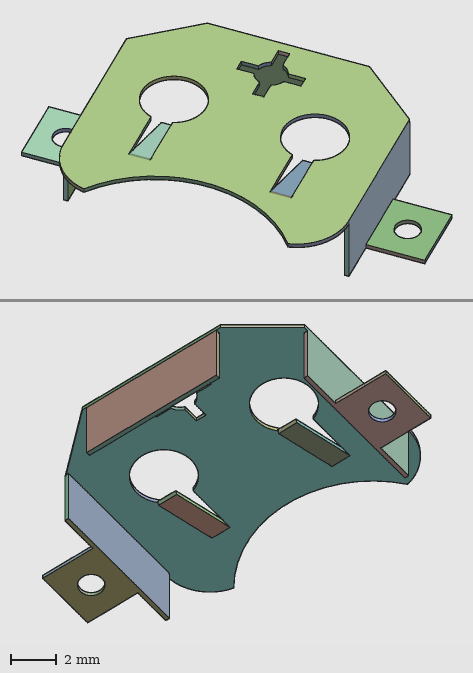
import cadquery as cq
import math

total_length = 18.92
total_height = 3.27
sheet = 0.2
plate_bottom = total_height - sheet

plate_half_width = 6.7
plate_back = 6.05
plate_front = -5.96
back_corner_x = 3.8
left_corner_y = 3.8
right_corner_y = 3.52
front_tip_x = 4.79
cutout_depth = 2.35

side_wall_length = 7.17
foot_width = 3.2
foot_hole_diameter = 1.2
foot_hole_x = 8.02
back_wall_width = 7.15

keyhole_x = 3.31
keyhole_y = 0.9
keyhole_diameter = 3.0
tab_width = 1.0
tab_root_y = -3.15
tab_underside_tip_y = 0.65
tab_tip_bottom = 1.72

cross_y = 4.03
cross_span = 3.0
cross_arm_width = 0.53
cross_hole_diameter = 1.5


def box(x_range, y_range, z_range):
    """Box filling the given ranges along the three axes."""
    (x0, x1), (y0, y1), (z0, z1) = x_range, y_range, z_range
    return cq.Workplane("XY").box(x1 - x0, y1 - y0, z1 - z0, centered=False).translate((x0, y0, z0))


def make_plate():
    """Flat plate with bevelled back corners, round front corners and an arched front cutout."""
    side_end_y = -side_wall_length / 2
    middle_x, middle_y = corner_arc_middle(side_end_y)
    return (
        cq.Workplane("XY", origin=(0, 0, plate_bottom))
        .moveTo(plate_half_width, right_corner_y)
        .lineTo(back_corner_x, plate_back)
        .lineTo(-back_corner_x, plate_back)
        .lineTo(-plate_half_width, left_corner_y)
        .lineTo(-plate_half_width, side_end_y)
        .threePointArc((-middle_x, middle_y), (-front_tip_x, plate_front))
        .threePointArc((0, plate_front + cutout_depth), (front_tip_x, plate_front))
        .threePointArc((middle_x, middle_y), (plate_half_width, side_end_y))
        .close()
        .extrude(sheet)
    )


def corner_arc_middle(side_end_y):
    """Middle of the right front corner arc, which leaves the side edge tangentially."""
    run = plate_half_width - front_tip_x
    drop = side_end_y - plate_front
    radius = (run**2 + drop**2) / (2 * run)
    half_sweep = math.atan2(run, drop)
    return (
        plate_half_width - radius * (1 - math.cos(half_sweep)),
        side_end_y - radius * math.sin(half_sweep),
    )


def cut_cross(plate):
    """Round hole with four slots."""
    cutter = (
        cq.Workplane("XY", origin=(0, cross_y, plate_bottom))
        .circle(cross_hole_diameter / 2)
        .extrude(sheet)
    )
    for size_x, size_y in ((cross_span, cross_arm_width), (cross_arm_width, cross_span)):
        arm = cq.Workplane("XY", origin=(0, cross_y, plate_bottom)).rect(size_x, size_y).extrude(sheet)
        cutter = cutter.union(arm)
    return plate.cut(cutter)


def cut_keyhole(plate, x):
    """Round hole with a slot running forward to the root of the spring tab."""
    hole = (
        cq.Workplane("XY", origin=(x, keyhole_y, plate_bottom))
        .circle(keyhole_diameter / 2)
        .extrude(sheet)
    )
    slot = box(
        (x - tab_width / 2, x + tab_width / 2), (tab_root_y, keyhole_y), (plate_bottom, total_height)
    )
    return plate.cut(hole.union(slot))


def make_tab(x):
    """Spring tab bent down about the lower edge of the slot end, with a rounded bend."""
    drop = plate_bottom - tab_tip_bottom
    reach = tab_underside_tip_y - tab_root_y
    angle = math.atan2(drop, reach)
    offset_y = sheet * math.sin(angle)
    offset_z = sheet * math.cos(angle)
    half_y = sheet * math.sin(angle / 2)
    half_z = sheet * math.cos(angle / 2)
    return (
        cq.Workplane("YZ", origin=(x - tab_width / 2, 0, 0))
        .moveTo(tab_root_y, plate_bottom)
        .lineTo(tab_root_y, total_height)
        .threePointArc(
            (tab_root_y + half_y, plate_bottom + half_z), (tab_root_y + offset_y, plate_bottom + offset_z)
        )
        .lineTo(tab_underside_tip_y + offset_y, tab_tip_bottom + offset_z)
        .lineTo(tab_underside_tip_y, tab_tip_bottom)
        .close()
        .extrude(tab_width)
    )


def make_right_leg():
    """Side wall with an outward foot and its hole."""
    wall = box(
        (plate_half_width - sheet, plate_half_width),
        (-side_wall_length / 2, side_wall_length / 2),
        (0, plate_bottom),
    )
    foot = box(
        (plate_half_width - sheet, total_length / 2), (-foot_width / 2, foot_width / 2), (0, sheet)
    )
    hole = cq.Workplane("XY").center(foot_hole_x, 0).circle(foot_hole_diameter / 2).extrude(sheet)
    return wall.union(foot).cut(hole)


def make_holder():
    """Plate, side legs and spring tabs bent from one sheet."""
    holder = cut_cross(make_plate())
    for x in (-keyhole_x, keyhole_x):
        holder = cut_keyhole(holder, x).union(make_tab(x))
    right_leg = make_right_leg()
    return holder.union(right_leg).union(right_leg.mirror("YZ"))


def make_back_wall():
    """Separate upright wall standing under the back edge of the plate."""
    return box(
        (-back_wall_width / 2, back_wall_width / 2), (plate_back - sheet, plate_back), (0, plate_bottom)
    )


holder = make_holder()
back_wall = make_back_wall()
result = cq.Compound.makeCompound([holder.val(), back_wall.val()])